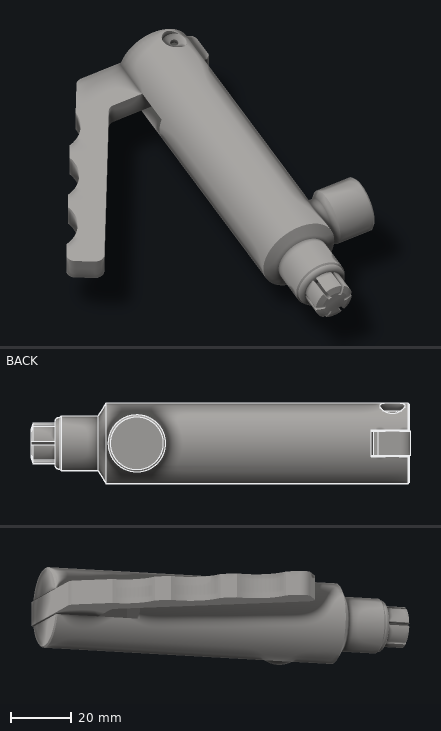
import cadquery as cq
import math


barrel_diameter = 26.9
barrel_rear = 0.4
rear_chamfer = 0.5
barrel_front = 101.2
barrel_radius = barrel_diameter / 2

nose_radius = 18.3 / 2
nose_rear = 103.9
nose_front = 116.1
nose_bevel = 0.5
collar_front = 118.2
collar_end_radius = 7.3

tip_radius = 6.8
tip_front = 126.2
tip_bevel_length = 0.8
tip_end_radius = 4.5
groove_count = 6
groove_width = 1.1
groove_floor_radius = 4.2
groove_taper_start = 123.5
groove_floor_end_radius = 3.5

port_x = 91.0
port_diameter = 19.0
port_neck_diameter = 15.1
port_end = 29.5
port_chamfer = 0.8
port_shoulder = 16.2
port_neck_end = port_shoulder - (port_diameter - port_neck_diameter) / 2

lever_thickness = 8.1
lever_top = 15.4
nose_plate_width = 12.4
arm_width = 15.8
arm_step_y = 0
heel_y = -28.8
corner_radius = 3.0
top_bevel = 1.5

handle_angle = 30
handle_length = 81.6
handle_inner_offset = 11.0
grip_offset = 1.6

finger_count = 3
finger_radius = 11.9
finger_chord = 16.8
first_finger = 21.0
finger_pitch = 22.3

slot_width = 8.8
slot_mouth_front = 29.4
slot_back_front = 13.1
step_clearance = 0.6

pivot_x = 6.0
pivot_y = 4.9
pin_diameter = 4.8
pin_bore_diameter = 4.9
pin_bottom = -8.8
head_diameter = 8.2
head_bore_diameter = 8.3
head_bottom = 7.6
head_top = 10.7
socket_diameter = 2.8
socket_depth = 1.5


def handle_point(along, out):
    """XY position of a point given along and outward from the underside of the handle heel."""
    angle = math.radians(handle_angle)
    x = along * math.cos(angle) - out * math.sin(angle)
    y = heel_y - along * math.sin(angle) - out * math.cos(angle)
    return (x, y)


def disc(x, y, diameter, bottom, top):
    """Upright cylinder between two heights."""
    return cq.Workplane("XY", origin=(x, y, bottom)).circle(diameter / 2).extrude(top - bottom)


def slab(x_min, x_max, y_min, y_max, thickness):
    """Box centred on the XY plane."""
    size_x = x_max - x_min
    size_y = y_max - y_min
    centre = ((x_min + x_max) / 2, (y_min + y_max) / 2, 0)
    return cq.Workplane("XY").box(size_x, size_y, thickness).translate(centre)


def turned_housing():
    """Barrel, nose and tip turned about the X axis."""
    bevel_front = nose_front + nose_bevel
    bevel_radius = nose_radius - nose_bevel
    arc_depth = bevel_radius - collar_end_radius
    arc_length = collar_front - bevel_front
    arc_middle = (
        bevel_front + arc_length * math.sin(math.pi / 4),
        collar_end_radius + arc_depth * math.cos(math.pi / 4),
    )
    return (
        cq.Workplane("XY")
        .moveTo(barrel_rear, 0)
        .lineTo(barrel_rear, barrel_radius - rear_chamfer)
        .lineTo(barrel_rear + rear_chamfer, barrel_radius)
        .lineTo(barrel_front, barrel_radius)
        .lineTo(nose_rear, nose_radius)
        .lineTo(nose_front, nose_radius)
        .lineTo(bevel_front, bevel_radius)
        .threePointArc(arc_middle, (collar_front, collar_end_radius))
        .lineTo(collar_front, tip_radius)
        .lineTo(tip_front - tip_bevel_length, tip_radius)
        .lineTo(tip_front, tip_end_radius)
        .lineTo(tip_front, 0)
        .close()
        .revolve(360, (0, 0, 0), (1, 0, 0))
    )


def tip_grooves():
    """Lengthwise grooves around the tip; their floor tapers towards the front end."""
    core = (
        cq.Workplane("XY")
        .moveTo(collar_front, 0)
        .lineTo(collar_front, groove_floor_radius)
        .lineTo(groove_taper_start, groove_floor_radius)
        .lineTo(tip_front, groove_floor_end_radius)
        .lineTo(tip_front, 0)
        .close()
        .revolve(360, (0, 0, 0), (1, 0, 0))
    )
    grooves = cq.Workplane("XY")
    for index in range(groove_count):
        groove = slab(collar_front, tip_front, 0, barrel_radius, groove_width)
        grooves = grooves.add(groove.rotate((0, 0, 0), (1, 0, 0), index * 360 / groove_count))
    return grooves.combine().cut(core)


def side_port():
    """Port turned about a line parallel to Y, rooted at the barrel axis."""
    port_radius = port_diameter / 2
    neck_radius = port_neck_diameter / 2
    return (
        cq.Workplane("XY", origin=(port_x, 0, 0))
        .moveTo(0, 0)
        .lineTo(neck_radius, 0)
        .lineTo(neck_radius, port_neck_end)
        .lineTo(port_radius, port_shoulder)
        .lineTo(port_radius, port_end - port_chamfer)
        .lineTo(port_radius - port_chamfer, port_end)
        .lineTo(0, port_end)
        .close()
        .revolve(360, (0, 0, 0), (0, 1, 0))
    )


def lever_slot():
    """Slot through the rear of the barrel, longer on the handle side than on the port side."""
    step_y = arm_step_y + step_clearance
    mouth = slab(0, slot_mouth_front, -barrel_radius, step_y, slot_width)
    back = slab(0, slot_back_front, -barrel_radius, barrel_radius, slot_width)
    return mouth.union(back)


def pivot_bore():
    """Blind pin bore with a counterbore for the pin head."""
    bore = disc(pivot_x, pivot_y, pin_bore_diameter, pin_bottom, head_bottom)
    counterbore = disc(pivot_x, pivot_y, head_bore_diameter, head_bottom, barrel_radius)
    return bore.union(counterbore)


def make_housing():
    """Turned housing with its side port, lever slot, pivot bore and tip grooves."""
    housing = turned_housing().union(side_port())
    return housing.cut(lever_slot()).cut(pivot_bore()).cut(tip_grooves())


def lever_plate():
    """Lever outline, before the finger grooves, with its corners rounded."""
    angle = math.radians(handle_angle)
    elbow_y = heel_y + handle_inner_offset / math.cos(angle) - arm_width * math.tan(angle)
    heel = (0, heel_y)
    elbow = (arm_width, elbow_y)
    end_inner = handle_point(handle_length, -handle_inner_offset)
    end_outer = handle_point(handle_length, grip_offset)
    top_corner = (0, lever_top)
    plate = (
        cq.Workplane("XY", origin=(0, 0, -lever_thickness / 2))
        .moveTo(*top_corner)
        .lineTo(nose_plate_width - top_bevel, lever_top)
        .lineTo(nose_plate_width, lever_top - top_bevel)
        .lineTo(nose_plate_width, arm_step_y)
        .lineTo(arm_width, arm_step_y)
        .lineTo(*elbow)
        .lineTo(*end_inner)
        .lineTo(*end_outer)
        .lineTo(*handle_point(first_finger, grip_offset))
        .lineTo(*handle_point(first_finger, 0))
        .lineTo(*heel)
        .close()
        .extrude(lever_thickness)
    )
    for corner in (top_corner, heel, elbow, end_inner, end_outer):
        nearest = cq.selectors.NearestToPointSelector((*corner, 0))
        plate = plate.edges("|Z").edges(nearest).fillet(corner_radius)
    return plate


def finger_groove(index):
    """Cylinder that cuts one finger groove."""
    centre_offset = math.sqrt(finger_radius**2 - (finger_chord / 2) ** 2)
    along = first_finger + index * finger_pitch
    x, y = handle_point(along, grip_offset + centre_offset)
    return disc(x, y, 2 * finger_radius, -lever_thickness / 2, lever_thickness / 2)


def pivot_pin():
    """Pin with a flat head and a round socket in the head."""
    shank = disc(pivot_x, pivot_y, pin_diameter, pin_bottom, head_bottom)
    head = disc(pivot_x, pivot_y, head_diameter, head_bottom, head_top)
    socket = disc(pivot_x, pivot_y, socket_diameter, head_top - socket_depth, head_top)
    return shank.union(head).cut(socket)


def make_lever():
    """Lever with finger grooves, carrying its pivot pin."""
    lever = lever_plate()
    for index in range(finger_count):
        lever = lever.cut(finger_groove(index))
    return lever.union(pivot_pin())


housing = make_housing()
lever = make_lever()

result = cq.Compound.makeCompound([housing.solids().val(), lever.solids().val()])